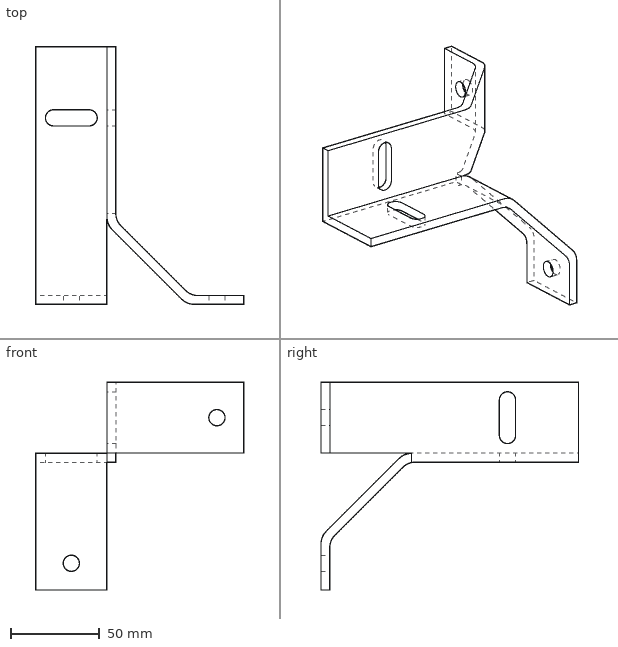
import cadquery as cq
import math

length = 145.0
reach = 117.0
strap_width = 40.0
thickness = 5.1
bend_radius = 10.0
drop = reach - strap_width

upright_straight = 95.8
level_straight = 94.0

hole_diameter = 9.0
hole_from_tip = 15.1
slot_length = 29.0
slot_width = 9.0
slot_from_back = 40.0

half_length = length / 2
bend_tangent = bend_radius * math.tan(math.pi / 8)


def bent_strap(straight):
    """Upright strap with its corner edge on the Y axis, leaning toward +X at the front."""
    front = -half_length
    first_y = half_length - straight - bend_tangent
    second_x = first_y - front
    shift = thickness * math.tan(math.pi / 8)
    profile = (
        cq.Workplane("XY")
        .moveTo(0, half_length)
        .lineTo(0, first_y)
        .lineTo(second_x, front)
        .lineTo(drop, front)
        .lineTo(drop, front + thickness)
        .lineTo(second_x + shift, front + thickness)
        .lineTo(thickness, first_y + shift)
        .lineTo(thickness, half_length)
        .close()
        .extrude(strap_width)
    )
    outer_corners = [(0, first_y), (second_x, front)]
    inner_corners = [(thickness, first_y + shift), (second_x + shift, front + thickness)]
    for x, y in outer_corners + inner_corners:
        edge = cq.selectors.NearestToPointSelector((x, y, strap_width / 2))
        profile = profile.edges("|Z").edges(edge).fillet(bend_radius)

    hole = (
        cq.Workplane("XZ", origin=(drop - hole_from_tip, front, strap_width / 2))
        .circle(hole_diameter / 2)
        .extrude(-thickness)
    )
    slot = (
        cq.Workplane("YZ", origin=(0, half_length - slot_from_back, strap_width / 2))
        .slot2D(slot_length, slot_width, 90)
        .extrude(thickness)
    )
    return profile.cut(hole).cut(slot)


upright_strap = bent_strap(upright_straight)

level_strap = (
    bent_strap(level_straight)
    .mirror("YZ")
    .rotate((0, 0, 0), (0, 1, 0), -90)
)

corner_bar = cq.Workplane("XY").box(thickness, level_straight, thickness, centered=False)
corner_bar = corner_bar.translate((0, half_length - level_straight, -thickness))

result = upright_strap.union(level_strap).union(corner_bar)